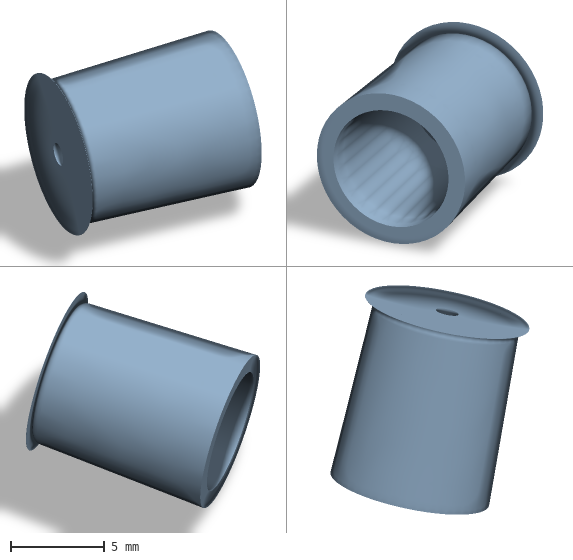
import cadquery as cq
import math

length = 10.0
flange_diameter = 9.0
flange_thickness = 0.01
base_flat_diameter = 7.03
base_fillet = 0.49
mouth_diameter = 8.7
base_wall = 0.5

cavity_floor_diameter = 6.0
cavity_break_diameter = 6.25
cavity_break_height = 2.5
cavity_mouth_diameter = 6.75

hole_diameter = 1.25

flat_radius = base_flat_diameter / 2
base_radius = flat_radius + base_fillet
mouth_radius = mouth_diameter / 2
hole_radius = hole_diameter / 2
fillet_end = flange_thickness + base_fillet
fillet_mid_offset = base_fillet * math.sqrt(0.5)


def make_cup():
    """Tapered cup, open at +Y, with a round hole through its base."""
    profile = (
        cq.Workplane("XY")
        .moveTo(hole_radius, 0)
        .lineTo(flat_radius, 0)
        .lineTo(flat_radius, flange_thickness)
        .threePointArc(
            (flat_radius + fillet_mid_offset, fillet_end - fillet_mid_offset),
            (base_radius, fillet_end),
        )
        .lineTo(mouth_radius, length)
        .lineTo(cavity_mouth_diameter / 2, length)
        .lineTo(cavity_break_diameter / 2, cavity_break_height)
        .lineTo(cavity_floor_diameter / 2, base_wall)
        .lineTo(hole_radius, base_wall)
        .close()
    )
    return profile.revolve(360, (0, 0, 0), (0, 1, 0))


def make_flange():
    """Thin flat ring around the flat of the cup base."""
    return (
        cq.Workplane("XZ")
        .circle(flange_diameter / 2)
        .circle(flat_radius)
        .extrude(-flange_thickness)
    )


cup = make_cup()
flange = make_flange()

result = cq.Compound.makeCompound([cup.val(), flange.val()])